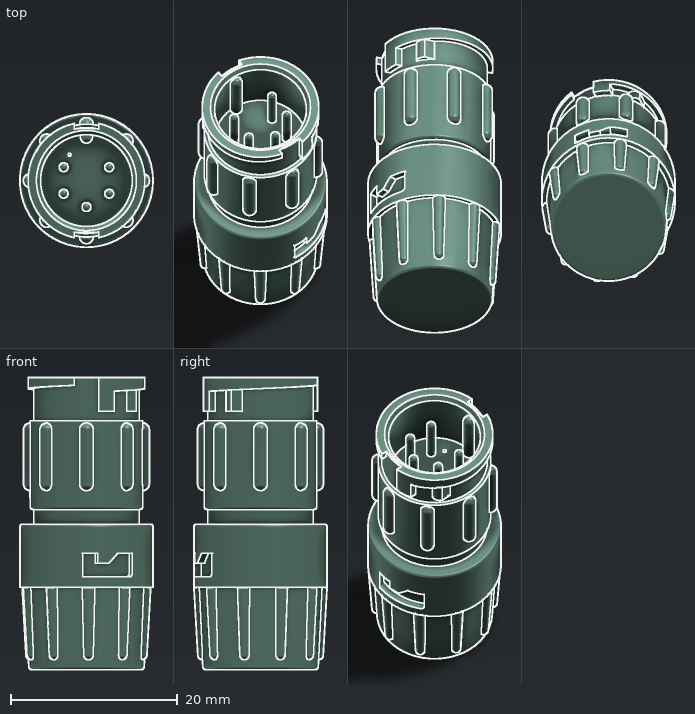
import cadquery as cq

total_height = 35.05
grip_height = 9.88
ring_top = 17.47
sleeve_bottom = 19.19
sleeve_top = 29.87

ring_radius = 8.0
sleeve_radius = 6.77
tube_radius = 6.35
grip_top_radius = 7.4
grip_bottom_radius = 6.92

grip_fillet = 0.4
ring_fillet = 0.35
sleeve_fillet = 0.4

socket_radius = 5.5
socket_depth = 7.7
socket_floor = total_height - socket_depth
socket_chamfer = 0.5

sleeve_rib_count = 8
sleeve_rib_radius = 0.83
sleeve_rib_axis_radius = 6.73
sleeve_rib_low = 22.3
sleeve_rib_high = 28.77

grip_rib_count = 10
grip_rib_offset = 2.0
grip_rib_low = 1.78
grip_rib_low_radius = 0.58
grip_rib_low_axis = 6.96
grip_rib_high_radius = 0.77
grip_rib_high_axis = 7.23

lug_radius = 7.0
lug_root_radius = 6.1
lug_height = 4.08
lug_bottom = total_height - lug_height
notch_half_width = 1.46
notch_flat = 6.2
notch_step = 0.05
stop_far_side = 3.33
ramp_start_azimuth = 105.0
ramp_end_azimuth = 262.0
ramp_deep_end = 1.73
ramp_shallow_end = 0.93

tooth_crown_start = (-4.85, 4.14)
tooth_crown_middle = (-5.53, 3.99)
tooth_tip = (-6.0, 3.48)
tooth_flat_end = (-5.96, 2.2)
tooth_root = (-5.0, 3.0)
tooth_top_depth = 1.3
tooth_top = total_height - tooth_top_depth

window_azimuth = 20.0
window_floor_radius = 7.12
window_half_width = 3.15
window_bottom = 11.13
window_top = 13.97
window_hook_bottom = 12.77
window_hook_left = -1.41
window_hook_right = -0.06
window_small_fillet = 0.15
window_large_fillet = 0.45

pin_radius = 0.53
pin_dome_center = 32.68
pin_places = [(-2.73, 1.6), (2.73, 1.6), (-2.73, -1.57), (2.73, -1.57), (0, -3.17)]
key_radius = 0.73
key_axis_y = 5.22
key_dome_center = 33.4
mark_place = (-2.03, 3.1)
mark_radius = 0.18
mark_depth = 0.5

overlap = 0.3


def cylinder(radius, low, high):
    return cq.Workplane("XY").workplane(offset=low).circle(radius).extrude(high - low)


def half_turn_pair(shape):
    return shape.union(shape.rotate((0, 0, 0), (0, 0, 1), 180))


def around_axis(shape, count, start_angle):
    """Union of equally spaced copies about Z."""
    copies = cq.Workplane("XY")
    for index in range(count):
        angle = start_angle + index * 360.0 / count
        copies = copies.union(shape.rotate((0, 0, 0), (0, 0, 1), angle))
    return copies


def domed_post(x, y, radius, low, dome_center):
    post = cylinder(radius, low, dome_center).translate((x, y, 0))
    dome = cq.Workplane("XY").sphere(radius).translate((x, y, dome_center))
    return post.union(dome)


def make_body():
    grip = (
        cq.Workplane("XZ")
        .polyline([(0, 0), (grip_bottom_radius, 0), (grip_top_radius, grip_height), (0, grip_height)])
        .close()
        .revolve(360, (0, 0, 0), (0, 1, 0))
        .faces("<Z").edges().fillet(grip_fillet)
    )
    ring = cylinder(ring_radius, grip_height, ring_top).faces(">Z").edges().fillet(ring_fillet)
    sleeve = cylinder(sleeve_radius, sleeve_bottom, sleeve_top).faces("<Z").edges().fillet(sleeve_fillet)
    tube = cylinder(tube_radius, grip_height, total_height)
    return grip.union(ring).union(tube).union(sleeve)


def make_sleeve_ribs():
    rib = domed_post(0, -sleeve_rib_axis_radius, sleeve_rib_radius, sleeve_rib_low, sleeve_rib_high)
    low_dome = cq.Workplane("XY").sphere(sleeve_rib_radius)
    rib = rib.union(low_dome.translate((0, -sleeve_rib_axis_radius, sleeve_rib_low)))
    return around_axis(rib, sleeve_rib_count, 0)


def make_grip_ribs():
    low_center = cq.Vector(0, -grip_rib_low_axis, grip_rib_low)
    axis = cq.Vector(0, -grip_rib_high_axis, grip_height) - low_center
    taper = cq.Solid.makeCone(grip_rib_low_radius, grip_rib_high_radius, axis.Length, low_center, axis)
    low_dome = cq.Workplane("XY").sphere(grip_rib_low_radius).translate(low_center)
    rib = low_dome.union(cq.Workplane(taper))
    return around_axis(rib, grip_rib_count, grip_rib_offset)


def make_ramp_clearance():
    """Space below the ramp: its upper face climbs along a helix."""
    sweep_angle = ramp_end_azimuth - ramp_start_azimuth
    climb = ramp_deep_end - ramp_shallow_end
    start_height = total_height - ramp_deep_end
    clearance_height = start_height - lug_bottom + climb + overlap
    helix = cq.Wire.makeHelix(climb * 360 / sweep_angle, climb, lug_root_radius)
    clearance = (
        cq.Workplane("XZ")
        .moveTo(lug_root_radius - overlap, -clearance_height)
        .rect(lug_radius - lug_root_radius + 2 * overlap, clearance_height, centered=False)
        .sweep(cq.Workplane(helix), isFrenet=True)
        .rotate((0, 0, 0), (0, 0, 1), ramp_start_azimuth)
        .translate((0, 0, start_height))
    )
    stop_zone = (
        cq.Workplane("XY")
        .box(stop_far_side, 2 * lug_radius, total_height, centered=False)
        .translate((-stop_far_side, 0, 0))
    )
    return clearance.cut(stop_zone)


def make_lugs():
    half_flange = (
        cylinder(lug_radius, lug_bottom, total_height)
        .cut(cylinder(lug_root_radius, lug_bottom, total_height))
        .intersect(
            cq.Workplane("XY")
            .box(lug_radius - notch_half_width, 2 * lug_radius, lug_height, centered=False)
            .translate((-lug_radius, -lug_radius, lug_bottom))
        )
    )
    tooth = (
        cq.Workplane("XY").workplane(offset=lug_bottom)
        .moveTo(*tooth_crown_start)
        .threePointArc(tooth_crown_middle, tooth_tip)
        .lineTo(*tooth_flat_end)
        .lineTo(*tooth_root)
        .close()
        .extrude(tooth_top - lug_bottom)
    )
    return half_turn_pair(half_flange.cut(make_ramp_clearance()).union(tooth))


def make_notch_reliefs():
    """Shallow steps that flatten the tube rim between the lugs."""
    step = (
        cq.Workplane("XY")
        .box(2 * notch_half_width, lug_radius - notch_flat, notch_step, centered=(True, False, False))
        .translate((0, notch_flat, total_height - notch_step))
    )
    return half_turn_pair(step)


def make_windows():
    hook_rise = window_top - window_hook_bottom
    outline = (
        cq.Workplane("XZ")
        .polyline([
            (-window_half_width, window_bottom),
            (window_half_width, window_bottom),
            (window_half_width, window_top),
            (window_hook_right + hook_rise, window_top),
            (window_hook_right, window_hook_bottom),
            (window_hook_left, window_hook_bottom),
            (window_hook_left, window_top),
            (-window_half_width, window_top),
        ])
        .close()
        .extrude(ring_radius + overlap)
    )
    window = (
        outline
        .edges("|Y and <X and <Z").fillet(window_small_fillet)
        .edges("|Y and >X and <Z").fillet(window_large_fillet)
        .cut(cylinder(window_floor_radius, 0, total_height))
        .rotate((0, 0, 0), (0, 0, 1), window_azimuth)
    )
    return half_turn_pair(window)


def make_socket():
    bore = cylinder(socket_radius, socket_floor, total_height)
    mouth = cq.Workplane(cq.Solid.makeCone(
        socket_radius, socket_radius + socket_chamfer, socket_chamfer,
        cq.Vector(0, 0, total_height - socket_chamfer),
    ))
    mark = cylinder(mark_radius, socket_floor - mark_depth, socket_floor).translate((*mark_place, 0))
    return bore.union(mouth).union(mark)


def make_key():
    """Round-nosed key running straight back into the socket wall."""
    nose = domed_post(0, key_axis_y, key_radius, socket_floor - overlap, key_dome_center)
    back_length = socket_radius + overlap - key_axis_y
    back_height = key_dome_center - socket_floor + overlap
    back = (
        cq.Workplane("XY")
        .box(2 * key_radius, back_length, back_height, centered=(True, False, False))
        .translate((0, key_axis_y, socket_floor - overlap))
    )
    back_top = (
        cq.Workplane("XZ").circle(key_radius).extrude(-back_length)
        .translate((0, key_axis_y, key_dome_center))
    )
    return nose.union(back).union(back_top)


def make_contacts():
    contacts = make_key()
    for x, y in pin_places:
        contacts = contacts.union(domed_post(x, y, pin_radius, socket_floor - overlap, pin_dome_center))
    return contacts


result = (
    make_body()
    .union(make_grip_ribs())
    .union(make_sleeve_ribs())
    .union(make_lugs())
    .cut(make_notch_reliefs())
    .cut(make_windows())
    .cut(make_socket())
    .union(make_contacts())
)